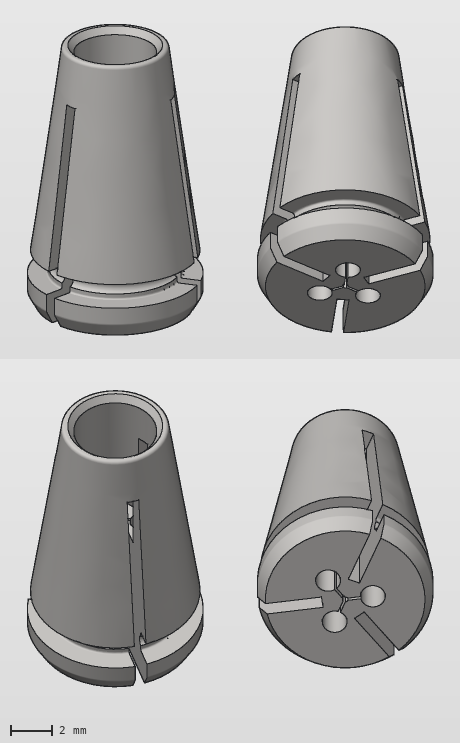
import cadquery as cq

height = 13.6
flange_radius = 4.25
flange_top = 1.6
base_radius = 3.85
base_bevel_height = 0.71
bevel_blend = 0.2

cone_bottom = 2.79
cone_bottom_radius = 4.1
cone_top_radius = 2.58
rim_fillet = 0.18

neck_radius = 3.24
neck_fillet = 0.1
groove_bottom = 1.9
groove_top = 2.52
groove_floor_radius = 3.03

bore_radius = 4.0 / 2
bore_floor = 7.59
mouth_radius = 2.28
mouth_depth = 0.34

jaw_count = 3
slot_width = 0.58
slot_top = 11.22
slot_inner_radius = 1.12
relief_radius = 0.6
relief_pitch_radius = 1.35
jaw_gap = 0.12
center_hole_radius = 0.14


def make_body():
    """Turned outside shape: flange, grooved neck and cone."""
    groove_middle = (groove_bottom + groove_top) / 2
    body = (
        cq.Workplane("XZ")
        .moveTo(0, 0)
        .lineTo(base_radius, 0)
        .lineTo(flange_radius, base_bevel_height)
        .lineTo(flange_radius, flange_top)
        .lineTo(neck_radius + neck_fillet, flange_top)
        .radiusArc((neck_radius, flange_top + neck_fillet), neck_fillet)
        .lineTo(neck_radius, groove_bottom)
        .threePointArc((groove_floor_radius, groove_middle), (neck_radius, groove_top))
        .lineTo(neck_radius, cone_bottom - neck_fillet)
        .radiusArc((neck_radius + neck_fillet, cone_bottom), neck_fillet)
        .lineTo(cone_bottom_radius, cone_bottom)
        .lineTo(cone_top_radius, height)
        .lineTo(0, height)
        .close()
        .revolve(360, (0, 0, 0), (0, 1, 0))
    )
    body = body.edges(">Z").fillet(rim_fillet)
    bevel_edges = body.edges("%CIRCLE").edges(cq.selectors.RadiusNthSelector(-1)).edges("<Z")
    return bevel_edges.fillet(bevel_blend)


def make_bore():
    """Blind bore that flares to the mouth radius at the top."""
    return (
        cq.Workplane("XZ")
        .moveTo(0, bore_floor)
        .lineTo(bore_radius, bore_floor)
        .lineTo(bore_radius, height - mouth_depth)
        .lineTo(mouth_radius, height)
        .lineTo(0, height)
        .close()
        .revolve(360, (0, 0, 0), (0, 1, 0))
    )


def make_jaw_slot():
    """Radial slot on the +X side, open at the base and the outside."""
    slot = cq.Workplane("XY").box(flange_radius, slot_width, slot_top, centered=(False, True, False))
    return slot.translate((slot_inner_radius, 0, 0))


def make_jaw_gap():
    """Thin gap from the axis to a round relief hole on the -X side."""
    gap = cq.Workplane("XY").box(relief_pitch_radius, jaw_gap, bore_floor, centered=(False, True, False))
    gap = gap.translate((-relief_pitch_radius, 0, 0))
    relief = cq.Workplane("XY").center(-relief_pitch_radius, 0).circle(relief_radius).extrude(bore_floor)
    return gap.union(relief)


result = make_body().cut(make_bore())
for jaw in range(jaw_count):
    angle = jaw * 360 / jaw_count
    for cutter in (make_jaw_slot(), make_jaw_gap()):
        result = result.cut(cutter.rotate((0, 0, 0), (0, 0, 1), angle))
result = result.cut(cq.Workplane("XY").circle(center_hole_radius).extrude(bore_floor))